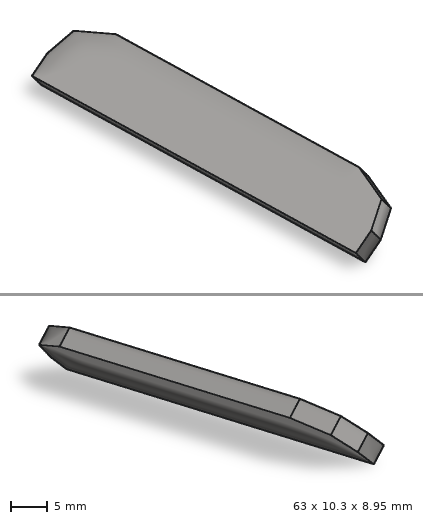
import cadquery as cq

length = 63.0
width = 10.7
thickness = 3.0
tilt = 38.0

bevel_length = 7.9
bevel_width = 6.9
knee_inset = 1.6
knee_drop = 2.4

half_length = length / 2

right_side = [
    (half_length, 0),
    (half_length, width - bevel_width),
    (half_length - knee_inset, width - knee_drop),
    (half_length - bevel_length, width),
]
left_side = [(-x, y) for x, y in reversed(right_side)]

bar = cq.Workplane("XY").polyline(right_side + left_side).close().extrude(thickness)
result = bar.rotate((0, 0, 0), (1, 0, 0), tilt)